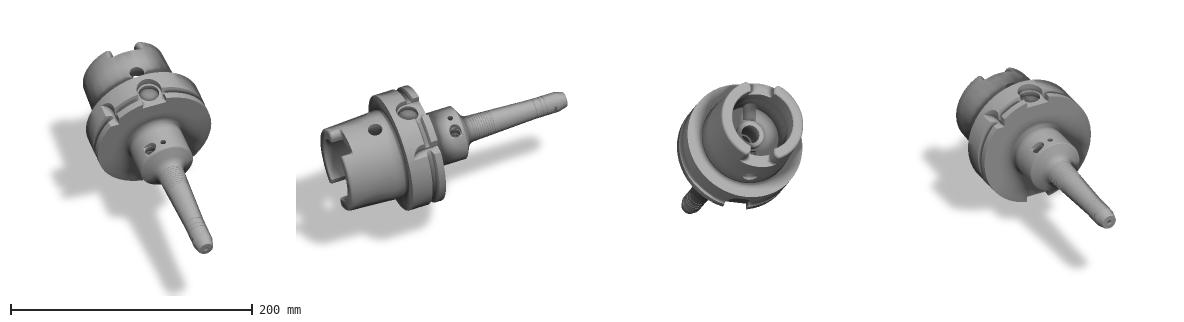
import cadquery as cq
import math

total_length = 205.0

shank_length = 49.5
shank_end_radius = 35.7
shank_root_radius = 38.1
shank_edge_round = 2.0
neck_start = 47.2
neck_radius = 37.3
neck_slope_end = 48.4
face_relief_radius = 39.5
face_relief_depth = 0.6

flange_radius = 50.0
flange_end = 78.7
groove_floor_radius = 46.0
groove_start = 66.8
groove_end = 73.0
groove_wall_run = 1.5

flange_fillet = 2.9
body_radius = 23.0
body_end = 109.0
body_edge_chamfer = 0.6
shoulder_cone_radius = 22.3
shoulder_fillet = 8.2
shoulder_fillet_start = 113.5
shoulder_fillet_radius = 15.2
nose_root = 119.5
nose_root_radius = 11.0
nose_taper_end = 176.7
nose_radius = 8.5
tip_taper_start = 197.0
tip_radius = 6.5
tip_chamfer_length = 0.8
tip_chamfer_height = 0.6

ring_groove_diameter = 0.7
root_groove_start = 120.3
root_groove_pitch = 2.0
root_groove_count = 10
tip_groove_places = (176.7, 182.2, 186.0)

flat_start = 192.5
flat_end = 194.5
flat_distance = 7.4

bore_radius = 26.5
bore_mouth_chamfer = 0.6
bore_straight_length = 20.0
bore_floor = 37.1
bore_floor_radius = 25.2
boss_radius = 24.0 / 2
boss_start = 33.8
boss_chamfer = 0.8
boss_bore_radius = 15.4 / 2
boss_bore_mouth_chamfer = 0.3
boss_bore_depth = 20.5
coolant_bore_radius = 12.0 / 2
coolant_bore_depth = 20.5
through_radius = 4.0 / 2
drill_half_angle = math.radians(59)

cross_hole_diameter = 12.0
cross_hole_x = 35.3
cross_hole_bottom = 13.3

drive_slot_half_width = 10.0
drive_slot_round = 4.7
drive_slot_ledge = 32.4
drive_slot_inner = 20.5
drive_slot_ledge_reach = 18.5
drive_slot_lengths = {1: 10.0, -1: 14.8}
drive_slot_end_fillet = 2.0
drive_slot_mouth_chamfer = 1.0

key_slot_width = 20.5
key_slot_center_x = 64.8
key_slot_floor = 43.9
notch_wall = 31.2
notch_floor = 31.8
chip_hole_diameter = 17.0
chip_hole_depth = 4.5

pocket_x = 102.0
pocket_y = -12.0
pocket_diameter = 9.6
pocket_floor = 15.8
screw_hole_diameter = 9.0
screw_hole_depth = 5.1
drill_diameter = 6.0
drill_depth = 1.0
side_hole_diameter = 5.0
side_hole_z = 18.5
side_hole_depth = 3.0
top_hole_diameter = 4.7
top_hole_y = -0.8
top_hole_depth = 8.2

beyond = 61.5


def revolve_about_x(profile):
    return profile.close().revolve(360, (0, 0, 0), (1, 0, 0))


def upright_hole(diameter, x, y, bottom, top):
    return cq.Workplane("XY", origin=(x, y, bottom)).circle(diameter / 2).extrude(top - bottom)


def drilled_hole(diameter, x, y, bottom, top):
    """Upright hole with a drill point below its bottom."""
    hole = upright_hole(diameter, x, y, bottom, top)
    point_depth = diameter / 2 / math.tan(drill_half_angle)
    point = cq.Solid.makeCone(
        diameter / 2, 0, point_depth, cq.Vector(x, y, bottom), cq.Vector(0, 0, -1)
    )
    return hole.add(point).combine()


def make_body():
    round_end_radius = shank_end_radius - shank_edge_round
    profile = (
        cq.Workplane("XY")
        .moveTo(0, 0)
        .lineTo(0, round_end_radius)
        .radiusArc((shank_edge_round, shank_end_radius), shank_edge_round)
        .lineTo(neck_start, shank_root_radius)
        .lineTo(neck_slope_end, neck_radius)
        .lineTo(shank_length + face_relief_depth, neck_radius)
        .lineTo(shank_length + face_relief_depth, face_relief_radius)
        .lineTo(shank_length, face_relief_radius)
        .lineTo(shank_length, flange_radius)
        .lineTo(groove_start, flange_radius)
        .lineTo(groove_start + groove_wall_run, groove_floor_radius)
        .lineTo(groove_end - groove_wall_run, groove_floor_radius)
        .lineTo(groove_end, flange_radius)
        .lineTo(flange_end, flange_radius)
        .lineTo(flange_end, body_radius + flange_fillet)
        .radiusArc((flange_end + flange_fillet, body_radius), -flange_fillet)
        .lineTo(body_end, body_radius)
        .lineTo(body_end + body_edge_chamfer, shoulder_cone_radius)
        .lineTo(shoulder_fillet_start, shoulder_fillet_radius)
        .radiusArc((nose_root, nose_root_radius), -shoulder_fillet)
        .lineTo(nose_taper_end, nose_radius)
        .lineTo(tip_taper_start, nose_radius)
        .lineTo(total_length - tip_chamfer_length, tip_radius)
        .lineTo(total_length, tip_radius - tip_chamfer_height)
        .lineTo(total_length, 0)
    )
    return revolve_about_x(profile)


def make_bore():
    boss_bore_end = boss_start + boss_bore_depth
    coolant_bore_end = boss_bore_end + coolant_bore_depth
    drill_point = (coolant_bore_radius - through_radius) / math.tan(drill_half_angle)
    profile = (
        cq.Workplane("XY")
        .moveTo(0, 0)
        .lineTo(0, bore_radius + bore_mouth_chamfer)
        .lineTo(bore_mouth_chamfer, bore_radius)
        .lineTo(bore_straight_length, bore_radius)
        .lineTo(bore_floor, bore_floor_radius)
        .lineTo(bore_floor, boss_radius)
        .lineTo(boss_start + boss_chamfer, boss_radius)
        .lineTo(boss_start, boss_radius - boss_chamfer)
        .lineTo(boss_start, boss_bore_radius + boss_bore_mouth_chamfer)
        .lineTo(boss_start + boss_bore_mouth_chamfer, boss_bore_radius)
        .lineTo(boss_bore_end, boss_bore_radius)
        .lineTo(boss_bore_end, coolant_bore_radius)
        .lineTo(coolant_bore_end, coolant_bore_radius)
        .lineTo(coolant_bore_end + drill_point, through_radius)
        .lineTo(total_length, through_radius)
        .lineTo(total_length, 0)
    )
    return revolve_about_x(profile)


def nose_radius_at(x):
    taper = (nose_root_radius - nose_radius) / (nose_taper_end - nose_root)
    return max(nose_radius, nose_root_radius - taper * (x - nose_root))


def make_ring_grooves():
    places = [root_groove_start + i * root_groove_pitch for i in range(root_groove_count)]
    places.extend(tip_groove_places)
    grooves = cq.Workplane("XY")
    for x in places:
        radius = nose_radius_at(x)
        section = cq.Workplane("XY").center(x, radius).circle(ring_groove_diameter / 2)
        grooves = grooves.add(section.revolve(360, (0, -radius, 0), (1, -radius, 0)))
    return grooves.combine()


def make_nose_flats():
    flat = cq.Workplane("XY").box(
        flat_end - flat_start, nose_radius, 2 * nose_radius, centered=(False, False, True)
    )
    flat = flat.translate((flat_start, flat_distance, 0))
    return flat.union(flat.mirror("XZ"))


def drive_slot_profile(clearance):
    """Slot section in the YZ plane, widened outward by rounded shoulders."""
    half_width = drive_slot_half_width + clearance
    round_radius = drive_slot_round - clearance
    ledge = drive_slot_ledge - clearance
    shoulder = half_width + round_radius
    return (
        cq.Workplane("YZ")
        .moveTo(-half_width, drive_slot_inner)
        .lineTo(half_width, drive_slot_inner)
        .lineTo(half_width, ledge - round_radius)
        .radiusArc((shoulder, ledge), round_radius)
        .lineTo(drive_slot_ledge_reach, ledge)
        .lineTo(drive_slot_ledge_reach, beyond)
        .lineTo(-drive_slot_ledge_reach, beyond)
        .lineTo(-drive_slot_ledge_reach, ledge)
        .lineTo(-shoulder, ledge)
        .radiusArc((-half_width, ledge - round_radius), round_radius)
        .close()
    )


def make_drive_slot(side):
    length = drive_slot_lengths[side]
    slot = drive_slot_profile(0).extrude(length).faces(">X").edges().fillet(drive_slot_end_fillet)
    mouth = drive_slot_profile(drive_slot_mouth_chamfer).extrude(drive_slot_mouth_chamfer, taper=45)
    slot = slot.union(mouth)
    return slot if side > 0 else slot.mirror("XY")


def make_key_slot(center_y, floor):
    """Round-ended slot that runs out through the nose side of the flange."""
    length = flange_end - key_slot_center_x
    slot = cq.Workplane("XY", origin=(key_slot_center_x, center_y, floor)).circle(key_slot_width / 2)
    slot = slot.extrude(beyond - floor)
    run_out = cq.Workplane("XY").box(length, key_slot_width, beyond - floor, centered=(False, True, False))
    return slot.union(run_out.translate((key_slot_center_x, center_y, floor)))


def make_flange_cuts():
    key_slot = make_key_slot(0, key_slot_floor)
    notch = make_key_slot(-notch_wall - key_slot_width / 2, notch_floor)
    chip_hole = upright_hole(
        chip_hole_diameter, key_slot_center_x, 0, key_slot_floor - chip_hole_depth, beyond
    )
    return key_slot.union(key_slot.mirror("XY")).union(notch).union(chip_hole)


def make_screw_pocket():
    pocket = upright_hole(pocket_diameter, pocket_x, pocket_y, pocket_floor, body_radius)
    opening = cq.Workplane("XY").box(
        pocket_diameter, body_radius, body_radius - pocket_floor, centered=(True, False, False)
    )
    opening = opening.translate((pocket_x, pocket_y - body_radius, pocket_floor))
    screw_hole_floor = pocket_floor - screw_hole_depth
    screw_hole = upright_hole(screw_hole_diameter, pocket_x, pocket_y, screw_hole_floor, body_radius)
    drill_hole = drilled_hole(
        drill_diameter, pocket_x, pocket_y, screw_hole_floor - drill_depth, body_radius
    )
    side_hole = (
        cq.Workplane("XZ", origin=(pocket_x, pocket_y, side_hole_z))
        .circle(side_hole_diameter / 2)
        .extrude(-(pocket_diameter / 2 + side_hole_depth))
    )
    return pocket.union(opening).union(screw_hole).union(drill_hole).union(side_hole)


def make_top_hole():
    return drilled_hole(top_hole_diameter, pocket_x, top_hole_y, body_radius - top_hole_depth, beyond)


result = make_body().cut(make_bore())
result = result.cut(make_ring_grooves())
result = result.cut(make_nose_flats())
for side in drive_slot_lengths:
    result = result.cut(make_drive_slot(side))
result = result.cut(upright_hole(cross_hole_diameter, cross_hole_x, 0, -beyond, -cross_hole_bottom))
result = result.cut(upright_hole(cross_hole_diameter, cross_hole_x, 0, cross_hole_bottom, beyond))
result = result.cut(make_flange_cuts())
result = result.cut(make_screw_pocket())
result = result.cut(make_top_hole())